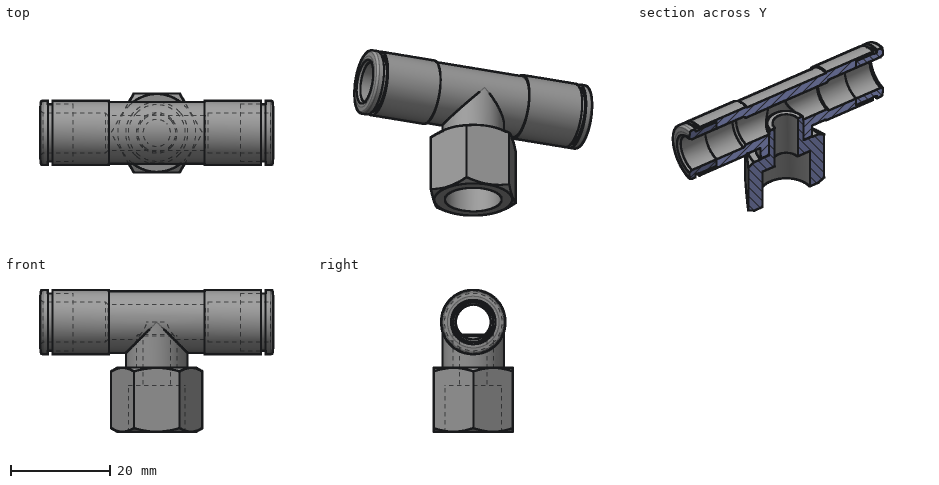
import cadquery as cq
import math

overall_length = 47.0
sleeve_dia = 13.0
sleeve_outer_x = 21.05
sleeve_inner_x = 9.65
body_dia = 12.5
flow_dia = 7.0
tube_dia = 8.1
tube_stop_x = 10.35
tube_stop_cone = (tube_dia - flow_dia) / 2

flange_width = 1.55
flange_round = 0.45
neck_dia = 11.6
neck_end_x = 16.9
mouth_dia = 9.0
mouth_depth = 0.6
flat_face_dia = 10.45
face_slope_drop = 0.15

nut_top_z = -9.15
nut_height = 13.0
hex_sides = 6
across_flats = 16.0
nut_face_dia = 15.7
nut_chamfer_angle = 30.0
stem_dia = 8.2
stem_top_z = -2.55
stem_chamfer = 0.3
stem_bore_dia = 5.5
thread_dia = 11.45
thread_depth = 9.4

end_x = overall_length / 2
flange_inner_x = end_x - flange_width
nut_bottom_z = nut_top_z - nut_height
across_corners = across_flats / math.cos(math.pi / hex_sides)


def x_cylinder(diameter, start, end):
    """Solid cylinder on the X axis between two X positions."""
    return cq.Workplane("YZ").workplane(offset=start).circle(diameter / 2).extrude(end - start)


def z_cylinder(diameter, bottom, top):
    """Solid cylinder on the Z axis between two heights."""
    return cq.Workplane("XY").workplane(offset=bottom).circle(diameter / 2).extrude(top - bottom)


def revolve_about_x(profile):
    """Solid of revolution about X from (x, radius) points."""
    return cq.Workplane("XY").polyline(profile).close().revolve(360, (0, 0, 0), (1, 0, 0))


def make_port_cavity():
    """Stepped cavity at the +X end: collar socket, tube seat and conical tube stop."""
    profile = [
        (tube_stop_x - tube_stop_cone, 0),
        (tube_stop_x - tube_stop_cone, flow_dia / 2),
        (tube_stop_x, tube_dia / 2),
        (neck_end_x, tube_dia / 2),
        (neck_end_x, neck_dia / 2),
        (sleeve_outer_x, neck_dia / 2),
        (sleeve_outer_x, 0),
    ]
    return revolve_about_x(profile)


def make_tee_body():
    """Run with two wider end sleeves and a branch pointing down to the nut."""
    tee = x_cylinder(body_dia, -sleeve_outer_x, sleeve_outer_x)
    tee = tee.union(z_cylinder(body_dia, nut_top_z, 0))
    sleeve = x_cylinder(sleeve_dia, sleeve_inner_x, sleeve_outer_x)
    tee = tee.union(sleeve).union(sleeve.mirror("YZ"))

    tee = tee.cut(x_cylinder(flow_dia, -sleeve_outer_x, sleeve_outer_x))
    tee = tee.cut(z_cylinder(stem_dia, nut_top_z, 0))
    cavity = make_port_cavity()
    return tee.cut(cavity).cut(cavity.mirror("YZ"))


def make_collar(side):
    """Release collar at the +X (side = 1) or -X (side = -1) end."""
    rim_x = end_x - face_slope_drop
    flange_profile = [
        (flange_inner_x, 0),
        (flange_inner_x, sleeve_dia / 2),
        (rim_x, sleeve_dia / 2),
        (end_x, flat_face_dia / 2),
        (end_x, 0),
    ]
    flange = revolve_about_x(flange_profile)
    rim_edge = flange.faces("%CONE").edges("<X")
    flange = rim_edge.fillet(flange_round)

    mouth_profile = [
        (end_x, 0),
        (end_x, mouth_dia / 2),
        (end_x - mouth_depth, tube_dia / 2),
        (end_x - mouth_depth, 0),
    ]
    collar = flange.union(x_cylinder(neck_dia, neck_end_x, flange_inner_x))
    collar = collar.cut(x_cylinder(tube_dia, neck_end_x, end_x))
    collar = collar.cut(revolve_about_x(mouth_profile))
    return collar if side > 0 else collar.mirror("YZ")


def make_nut_envelope():
    """Turned blank whose conical ends bevel the corners of the hexagon."""
    corner_radius = across_corners / 2
    bevel_height = (corner_radius - nut_face_dia / 2) * math.tan(math.radians(nut_chamfer_angle))
    profile = [
        (0, nut_bottom_z),
        (nut_face_dia / 2, nut_bottom_z),
        (corner_radius, nut_bottom_z + bevel_height),
        (corner_radius, nut_top_z - bevel_height),
        (nut_face_dia / 2, nut_top_z),
        (0, nut_top_z),
    ]
    return cq.Workplane("XZ").polyline(profile).close().revolve(360, (0, 0, 0), (0, 1, 0))


def make_nut():
    """Hexagonal nut with corners on X, a threaded socket below and a hollow stem above."""
    hexagon = (
        cq.Workplane("XY")
        .workplane(offset=nut_bottom_z)
        .polygon(hex_sides, across_corners)
        .extrude(nut_height)
        .intersect(make_nut_envelope())
    )
    stem = z_cylinder(stem_dia, nut_top_z, stem_top_z).faces(">Z").edges().chamfer(stem_chamfer)
    nut = hexagon.union(stem)
    nut = nut.cut(z_cylinder(stem_bore_dia, nut_bottom_z, stem_top_z))
    return nut.cut(z_cylinder(thread_dia, nut_bottom_z, nut_bottom_z + thread_depth))


tee_body = make_tee_body()
nut = make_nut()
collars = [make_collar(side) for side in (-1, 1)]

result = cq.Compound.makeCompound([
    tee_body.val(),
    nut.val(),
    *[collar.val() for collar in collars],
])